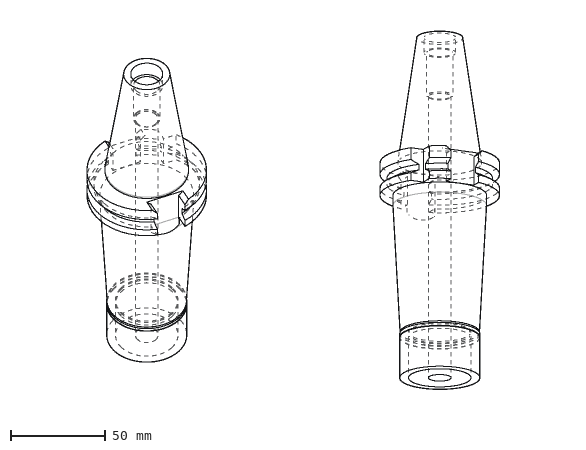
import cadquery as cq
import math


overall_length = 188.4

taper_length = 68.4
gauge_radius = 22.2
taper_ratio = 7 / 24
taper_tip_radius = gauge_radius - taper_length * taper_ratio / 2

flange_radius = 63.5 / 2
flange_top_z = -1.0
flange_bottom_z = -19.0
groove_center_z = -11.1
groove_floor_radius = 28.0
groove_mouth_width = 7.3
groove_flank_angle = 30
groove_flank_height = (flange_radius - groove_floor_radius) * math.tan(math.radians(groove_flank_angle))
groove_floor_width = groove_mouth_width - 2 * groove_flank_height

slot_width = 16.2
slot_chamfer = 2.5
left_slot_floor_x = 25.0
right_slot_floor_x = 22.8
slot_runout_radius = 12.2
notch_offset = 18.5

collar_radius = 24.9
collar_bottom_z = -24.7
body_bottom_z = -94.8
body_bottom_radius = 21.1
spigot_radius = 16.5

ring_top_z = -95.7
ring_bottom_z = -97.5
ring_chamfer = 0.2
nut_radius = 21.3
bottom_z = taper_length - overall_length

counterbore_radius = 8.5
counterbore_depth = 8.3
thread_bore_radius = 7.0
thread_bore_depth = 32.0
through_radius = 6.0
through_chamfer = 0.5


def turned(outline):
    """Solid of revolution about Z from (radius, Z) points."""
    return cq.Workplane("YZ").polyline(outline).close().revolve(360, (0, 0), (0, 1))


def holder_blank():
    """Turned outline of the holder, with the bore left solid."""
    mouth_top_z = groove_center_z + groove_mouth_width / 2
    mouth_bottom_z = groove_center_z - groove_mouth_width / 2
    floor_top_z = groove_center_z + groove_floor_width / 2
    floor_bottom_z = groove_center_z - groove_floor_width / 2
    outline = [
        (0, taper_length),
        (taper_tip_radius, taper_length),
        (gauge_radius, 0),
        (gauge_radius, flange_top_z),
        (flange_radius, flange_top_z),
        (flange_radius, mouth_top_z),
        (groove_floor_radius, floor_top_z),
        (groove_floor_radius, floor_bottom_z),
        (flange_radius, mouth_bottom_z),
        (flange_radius, flange_bottom_z),
        (collar_radius, flange_bottom_z),
        (collar_radius, collar_bottom_z),
        (body_bottom_radius, body_bottom_z),
        (spigot_radius, body_bottom_z),
        (spigot_radius, bottom_z),
        (0, bottom_z),
    ]
    return turned(outline)


def drive_slot_cutter(floor_x):
    """Slot on the +X side: flat floor through the flange, curving outward below it."""
    outer_x = floor_x + slot_runout_radius
    channel = (
        cq.Workplane("XZ")
        .moveTo(floor_x, flange_top_z)
        .lineTo(floor_x, flange_bottom_z)
        .radiusArc((outer_x, flange_bottom_z - slot_runout_radius), -slot_runout_radius)
        .lineTo(outer_x, flange_top_z)
        .close()
        .extrude(slot_width / 2, both=True)
    )
    half_width = slot_width / 2
    lead_in = (
        cq.Workplane("YZ", origin=(floor_x, 0, 0))
        .moveTo(-half_width - slot_chamfer, flange_top_z)
        .lineTo(half_width + slot_chamfer, flange_top_z)
        .lineTo(half_width, flange_top_z - slot_chamfer)
        .lineTo(-half_width, flange_top_z - slot_chamfer)
        .close()
        .extrude(slot_runout_radius)
    )
    return channel.union(lead_in)


def notch_cutter():
    """Square corner cut out of the flange on its -X, +Y side."""
    return (
        cq.Workplane("XY", origin=(0, 0, flange_bottom_z))
        .moveTo(-notch_offset, notch_offset)
        .rect(-flange_radius, flange_radius, centered=False)
        .extrude(flange_top_z - flange_bottom_z)
    )


def bore_cutter():
    """Counterbore, thread bore and chamfered through hole, from the shank end down."""
    step_z = taper_length - counterbore_depth
    thread_end_z = taper_length - thread_bore_depth
    outline = [
        (0, taper_length),
        (counterbore_radius, taper_length),
        (counterbore_radius, step_z),
        (thread_bore_radius, step_z),
        (thread_bore_radius, thread_end_z),
        (through_radius + through_chamfer, thread_end_z),
        (through_radius, thread_end_z - through_chamfer),
        (through_radius, bottom_z),
        (0, bottom_z),
    ]
    return turned(outline)


def make_holder():
    right_slot = drive_slot_cutter(right_slot_floor_x)
    left_slot = drive_slot_cutter(left_slot_floor_x).mirror("YZ")
    return holder_blank().cut(right_slot).cut(left_slot).cut(notch_cutter()).cut(bore_cutter())


def make_sleeve(top_z, sleeve_bottom_z):
    """Plain sleeve that fits around the spigot."""
    return (
        cq.Workplane("XY", origin=(0, 0, sleeve_bottom_z))
        .circle(nut_radius)
        .circle(spigot_radius)
        .extrude(top_z - sleeve_bottom_z)
    )


def make_ring():
    lower_rim = cq.selectors.RadiusNthSelector(-1)
    return make_sleeve(ring_top_z, ring_bottom_z).faces("<Z").edges(lower_rim).chamfer(ring_chamfer)


def make_nut():
    return make_sleeve(ring_bottom_z, bottom_z)


holder = make_holder()
ring = make_ring()
nut = make_nut()

result = cq.Compound.makeCompound([holder.val(), ring.val(), nut.val()])